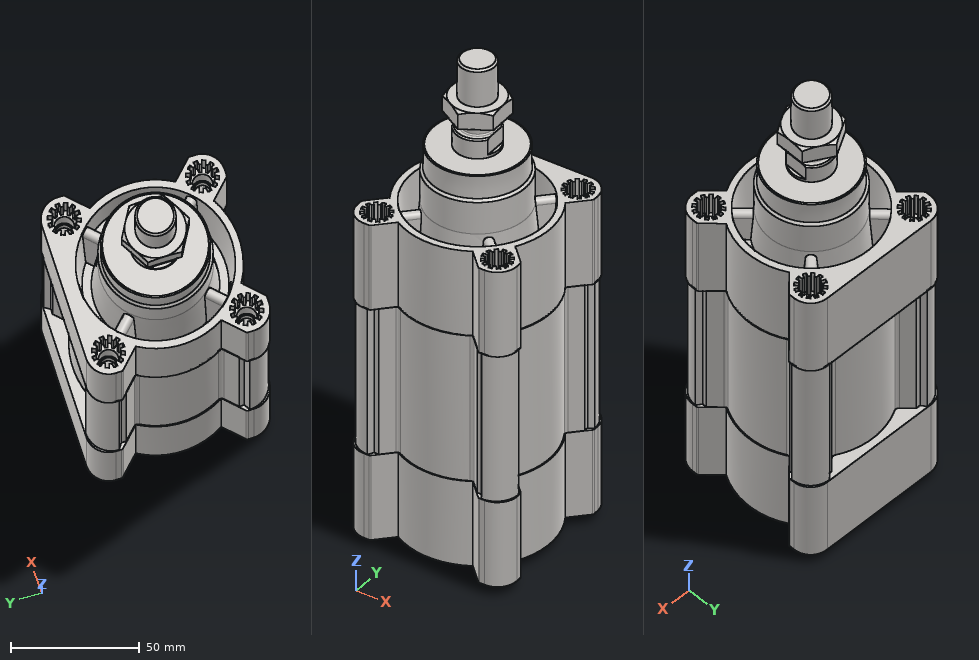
import cadquery as cq
import math

TOTAL_HEIGHT = 223.0
PLUG_HEIGHT = 4.0
CAP_LENGTH = 40.5
HEAD_FACE_Z = 155.0
CAP_TOP_Z = PLUG_HEIGHT + CAP_LENGTH
HEAD_BOTTOM_Z = HEAD_FACE_Z - CAP_LENGTH
COLLAR_TOP_Z = 182.0
COLLAR_STEP_Z = 170.0
SHOULDER_Z = 191.2

HOUSING_WIDTH = 75.0
HALF_WIDTH = HOUSING_WIDTH / 2
CAP_RADIUS = 34.4
BARREL_RADIUS = 34.0
SCREW_OFFSET = 28.3
LUG_HALF_WIDTH = 8.5
LUG_EDGE_RADIUS = 1.1

BARREL_HALF_WIDTH = 37.3
BARREL_CORNER_RADIUS = 10.5
BARREL_LUG_HALF_WIDTH = 8.3
BARREL_ROOT_RADIUS = 1.8
NOTCH_OUTER = BARREL_HALF_WIDTH - BARREL_CORNER_RADIUS
NOTCH_INNER = 25.2
NOTCH_DEPTH = 2.5

COLLAR_RADIUS = 45.0 / 2
PLUG_CHAMFER = 0.7
NECK_RADIUS = 42.8 / 2
NECK_SAG = 0.2
NECK_CONE_HEIGHT = 1.1
RIM_BEVEL_WIDTH = 0.7
RIM_BEVEL_HEIGHT = 0.2

POCKET_RADIUS = 31.2
POCKET_DEPTH = 29.0
UPPER_POCKET_DEPTH = 15.6
POCKET_DRAFT = 5.0
RIB_HALF_WIDTH = 2.2
RIB_DROP = 1.8
RIB_ANGLES = [45, 135, 225, 315]

SOCKET_RADIUS = 9.8 / 2
SPLINE_RADIUS = 13.2 / 2
SPLINE_COUNT = 12
SPLINE_WIDTH = 1.5
SOCKET_DEPTH = 11.2
THREAD_RADIUS = 8.0 / 2
THREAD_DEPTH = 20.0
DRILL_RADIUS = 6.7 / 2
DRILL_DEPTH = 24.5
DRILL_TIP_ANGLE = 118.0

ROD_RADIUS = 20.0 / 2
ROD_BOTTOM_Z = HEAD_BOTTOM_Z
ROD_SHOULDER_CHAMFER = 0.7
ROD_FLAT_WIDTH = 17.0
ROD_FLAT_BOTTOM_Z = 183.4
STUD_RADIUS = 16.0 / 2
STUD_CHAMFER = 1.0
UNDERCUT_RADIUS = 13.8 / 2
UNDERCUT_HEIGHT = 2.7
UNDERCUT_FILLET = 0.55
UNDERCUT_TAPER_HEIGHT = 2.2

NUT_WIDTH = 24.0
NUT_HEIGHT = 8.0
NUT_TOP_Z = 205.5
NUT_FACE_RADIUS = NUT_WIDTH / 2
NUT_CHAMFER_ANGLE = 30.0


def lug(outline, bottom_z, height):
    """Extrude a lug outline that points along the +X +Y diagonal."""
    return outline.close().extrude(height).translate((0, 0, bottom_z))


def on_all_corners(shape):
    """Return four copies of a corner feature, turned about the Z axis."""
    return [shape.rotate((0, 0, 0), (0, 0, 1), 90 * turn) for turn in range(4)]


def corner_arc_middle(half_width, radius):
    """Diagonal coordinate of the middle of a rounded outer corner."""
    return half_width - radius * (1 - math.sqrt(0.5))


def fillet_vertical_edges(body, points, z, radius):
    """Round the vertical edges nearest to the given X, Y points."""
    for x, y in points:
        nearest = cq.selectors.NearestToPointSelector((x, y, z))
        body = body.edges("|Z").edges(nearest).fillet(radius)
    return body


def tube(radius, bottom_z, height):
    return cq.Workplane("XY").workplane(offset=bottom_z).circle(radius).extrude(height)


def end_cap(bottom_z):
    """Round cap with four screw lugs and a flat +Y side."""
    corner_radius = HALF_WIDTH - SCREW_OFFSET
    arc_middle = corner_arc_middle(HALF_WIDTH, corner_radius)
    diagonal_shift = LUG_HALF_WIDTH * math.sqrt(2)
    lug_edge = HALF_WIDTH - diagonal_shift
    outline = (
        cq.Workplane("XY")
        .moveTo(0, -diagonal_shift)
        .lineTo(HALF_WIDTH, lug_edge)
        .lineTo(HALF_WIDTH, SCREW_OFFSET)
        .threePointArc((arc_middle, arc_middle), (SCREW_OFFSET, HALF_WIDTH))
        .lineTo(lug_edge, HALF_WIDTH)
        .lineTo(-diagonal_shift, 0)
    )
    cap = tube(CAP_RADIUS, bottom_z, CAP_LENGTH)
    for corner_lug in on_all_corners(lug(outline, bottom_z, CAP_LENGTH)):
        cap = cap.union(corner_lug)
    flat_side = cq.Workplane("XY").box(
        2 * SCREW_OFFSET, HALF_WIDTH, CAP_LENGTH, centered=(True, False, False)
    )
    cap = cap.union(flat_side.translate((0, 0, bottom_z)))

    corners = []
    for side in (-1, 1):
        corners += [
            (side * HALF_WIDTH, lug_edge),
            (side * HALF_WIDTH, -lug_edge),
            (side * lug_edge, -HALF_WIDTH),
        ]
    return fillet_vertical_edges(cap, corners, bottom_z + CAP_LENGTH / 2, LUG_EDGE_RADIUS)


def barrel():
    """Profiled tube whose four lugs are notched on both sides."""
    arc_middle = corner_arc_middle(BARREL_HALF_WIDTH, BARREL_CORNER_RADIUS)
    diagonal_shift = BARREL_LUG_HALF_WIDTH * math.sqrt(2)
    notch_level = BARREL_HALF_WIDTH - NOTCH_DEPTH
    notch_root = notch_level - diagonal_shift
    length = HEAD_BOTTOM_Z - CAP_TOP_Z
    outline = (
        cq.Workplane("XY")
        .moveTo(0, -diagonal_shift)
        .lineTo(notch_level, notch_root)
        .lineTo(notch_level, NOTCH_INNER)
        .lineTo(BARREL_HALF_WIDTH, NOTCH_OUTER)
        .threePointArc((arc_middle, arc_middle), (NOTCH_OUTER, BARREL_HALF_WIDTH))
        .lineTo(NOTCH_INNER, notch_level)
        .lineTo(notch_root, notch_level)
        .lineTo(-diagonal_shift, 0)
    )
    body = tube(BARREL_RADIUS, CAP_TOP_Z, length)
    for corner_lug in on_all_corners(lug(outline, CAP_TOP_Z, length)):
        body = body.union(corner_lug)

    root_reach = math.sqrt(BARREL_RADIUS**2 - BARREL_LUG_HALF_WIDTH**2)
    near = (root_reach - BARREL_LUG_HALF_WIDTH) / math.sqrt(2)
    far = near + diagonal_shift
    corners = []
    for side_x in (-1, 1):
        for side_y in (-1, 1):
            corners += [(side_x * near, side_y * far), (side_x * far, side_y * near)]
    return fillet_vertical_edges(body, corners, CAP_TOP_Z + length / 2, BARREL_ROOT_RADIUS)


def plug():
    return (
        cq.Workplane("XY").circle(COLLAR_RADIUS).extrude(PLUG_HEIGHT)
        .faces("<Z").chamfer(PLUG_CHAMFER)
    )


def collar():
    """Bearing collar with a slightly waisted, bevelled neck above a conical step."""
    neck_bottom_z = COLLAR_STEP_Z + NECK_CONE_HEIGHT
    neck_top_z = COLLAR_TOP_Z - RIM_BEVEL_HEIGHT
    waist = (NECK_RADIUS - NECK_SAG, (neck_bottom_z + neck_top_z) / 2)
    return (
        cq.Workplane("XZ")
        .moveTo(0, HEAD_FACE_Z)
        .lineTo(COLLAR_RADIUS, HEAD_FACE_Z)
        .lineTo(COLLAR_RADIUS, COLLAR_STEP_Z)
        .lineTo(NECK_RADIUS, neck_bottom_z)
        .threePointArc(waist, (NECK_RADIUS, neck_top_z))
        .lineTo(NECK_RADIUS - RIM_BEVEL_WIDTH, COLLAR_TOP_Z)
        .lineTo(0, COLLAR_TOP_Z)
        .close()
        .revolve(360, (0, 0), (0, 1))
    )


def ring_pocket():
    """Full ring around the collar, narrowing with depth by the draft angle."""
    inset = POCKET_DEPTH * math.tan(math.radians(POCKET_DRAFT))
    floor_z = HEAD_FACE_Z - POCKET_DEPTH
    return (
        cq.Workplane("XZ")
        .polyline([
            (COLLAR_RADIUS, HEAD_FACE_Z),
            (POCKET_RADIUS, HEAD_FACE_Z),
            (POCKET_RADIUS - inset, floor_z),
            (COLLAR_RADIUS + inset, floor_z),
        ])
        .close()
        .revolve(360, (0, 0), (0, 1))
    )


def rib(angle):
    """Round-topped rib with drafted flanks, crossing the pocket radially."""
    top_z = HEAD_FACE_Z - RIB_DROP
    spring_z = top_z - RIB_HALF_WIDTH
    foot_z = HEAD_FACE_Z - POCKET_DEPTH
    foot = RIB_HALF_WIDTH + (spring_z - foot_z) * math.tan(math.radians(POCKET_DRAFT))
    return (
        cq.Workplane("YZ")
        .moveTo(-foot, foot_z)
        .lineTo(-RIB_HALF_WIDTH, spring_z)
        .threePointArc((0, top_z), (RIB_HALF_WIDTH, spring_z))
        .lineTo(foot, foot_z)
        .close()
        .extrude(POCKET_RADIUS)
        .rotate((0, 0, 0), (0, 0, 1), angle)
    )


def raised_floor():
    """Quarter ring that fills the bottom of the pocket on the +Y side."""
    pocket_floor_z = HEAD_FACE_Z - POCKET_DEPTH
    raised_floor_z = HEAD_FACE_Z - UPPER_POCKET_DEPTH
    return (
        cq.Workplane("XZ")
        .polyline([
            (COLLAR_RADIUS, pocket_floor_z),
            (POCKET_RADIUS, pocket_floor_z),
            (POCKET_RADIUS, raised_floor_z),
            (COLLAR_RADIUS, raised_floor_z),
        ])
        .close()
        .revolve(90, (0, 0), (0, -1))
        .rotate((0, 0, 0), (0, 0, 1), 45)
    )


def add_head_pocket(housing):
    """Cut the ring pocket, then put back the raised floor and the ribs."""
    housing = housing.cut(ring_pocket()).union(raised_floor())
    for angle in RIB_ANGLES:
        housing = housing.union(rib(angle))
    return housing


def screw_socket():
    """Splined socket above a stepped blind hole, with its mouth at the origin."""
    tip_depth = DRILL_DEPTH + DRILL_RADIUS / math.tan(math.radians(DRILL_TIP_ANGLE / 2))
    socket = (
        cq.Workplane("XZ")
        .polyline([
            (0, 0),
            (SOCKET_RADIUS, 0),
            (SOCKET_RADIUS, -SOCKET_DEPTH),
            (THREAD_RADIUS, -SOCKET_DEPTH),
            (THREAD_RADIUS, -THREAD_DEPTH),
            (DRILL_RADIUS, -THREAD_DEPTH),
            (DRILL_RADIUS, -DRILL_DEPTH),
            (0, -tip_depth),
        ])
        .close()
        .revolve(360, (0, 0), (0, 1))
    )
    groove_start = THREAD_RADIUS
    first_angle = 90 / SPLINE_COUNT
    grooves = (
        cq.Workplane("XY")
        .polarArray((groove_start + SPLINE_RADIUS) / 2, first_angle, 360, SPLINE_COUNT)
        .rect(SPLINE_RADIUS - groove_start, SPLINE_WIDTH)
        .extrude(-SOCKET_DEPTH)
    )
    return socket.union(grooves)


def make_housing():
    housing = end_cap(PLUG_HEIGHT).union(barrel(), clean=False)
    housing = housing.union(end_cap(HEAD_BOTTOM_Z), clean=False)
    housing = add_head_pocket(housing.union(plug()).union(collar()))
    socket = screw_socket()
    for x in (-SCREW_OFFSET, SCREW_OFFSET):
        for y in (-SCREW_OFFSET, SCREW_OFFSET):
            housing = housing.cut(socket.translate((x, y, HEAD_FACE_Z)))
    rod_bore = (
        cq.Workplane("XY")
        .workplane(offset=ROD_BOTTOM_Z)
        .circle(ROD_RADIUS)
        .extrude(COLLAR_TOP_Z - ROD_BOTTOM_Z)
    )
    return housing.cut(rod_bore)


def make_rod():
    """Piston rod with wrench flats, an undercut and a stud end."""
    taper_bottom_z = SHOULDER_Z + UNDERCUT_HEIGHT
    rod = (
        cq.Workplane("XZ")
        .polyline([
            (0, ROD_BOTTOM_Z),
            (ROD_RADIUS, ROD_BOTTOM_Z),
            (ROD_RADIUS, SHOULDER_Z - ROD_SHOULDER_CHAMFER),
            (ROD_RADIUS - ROD_SHOULDER_CHAMFER, SHOULDER_Z),
            (UNDERCUT_RADIUS + UNDERCUT_FILLET, SHOULDER_Z),
        ])
        .radiusArc((UNDERCUT_RADIUS, SHOULDER_Z + UNDERCUT_FILLET), UNDERCUT_FILLET)
        .lineTo(UNDERCUT_RADIUS, taper_bottom_z)
        .lineTo(STUD_RADIUS, taper_bottom_z + UNDERCUT_TAPER_HEIGHT)
        .lineTo(STUD_RADIUS, TOTAL_HEIGHT - STUD_CHAMFER)
        .lineTo(STUD_RADIUS - STUD_CHAMFER, TOTAL_HEIGHT)
        .lineTo(0, TOTAL_HEIGHT)
        .close()
        .revolve(360, (0, 0), (0, 1))
    )
    flat_depth = ROD_RADIUS - ROD_FLAT_WIDTH / 2
    flat_height = SHOULDER_Z - ROD_FLAT_BOTTOM_Z
    flat_cutter = cq.Workplane("XY").box(
        flat_depth, 2 * ROD_RADIUS, flat_height, centered=(True, True, False)
    )
    flat_center_x = (ROD_FLAT_WIDTH + flat_depth) / 2
    for x in (-flat_center_x, flat_center_x):
        rod = rod.cut(flat_cutter.translate((x, 0, ROD_FLAT_BOTTOM_Z)))
    return rod


def make_nut():
    """Hexagon nut with two flats facing +X and -X and a chamfered top."""
    corner_radius = NUT_WIDTH / math.sqrt(3)
    bottom_z = NUT_TOP_Z - NUT_HEIGHT
    bevel = (corner_radius - NUT_FACE_RADIUS) * math.tan(math.radians(NUT_CHAMFER_ANGLE))
    hexagon = (
        cq.Workplane("XY")
        .workplane(offset=bottom_z)
        .polygon(6, 2 * corner_radius)
        .extrude(NUT_HEIGHT)
        .rotate((0, 0, 0), (0, 0, 1), 30)
    )
    beveled_round = (
        cq.Workplane("XZ")
        .polyline([
            (STUD_RADIUS, bottom_z),
            (corner_radius, bottom_z),
            (corner_radius, NUT_TOP_Z - bevel),
            (NUT_FACE_RADIUS, NUT_TOP_Z),
            (STUD_RADIUS, NUT_TOP_Z),
        ])
        .close()
        .revolve(360, (0, 0), (0, 1))
    )
    return hexagon.intersect(beveled_round)


housing = make_housing()
rod = make_rod()
nut = make_nut()

result = cq.Compound.makeCompound([housing.val(), rod.val(), nut.val()])